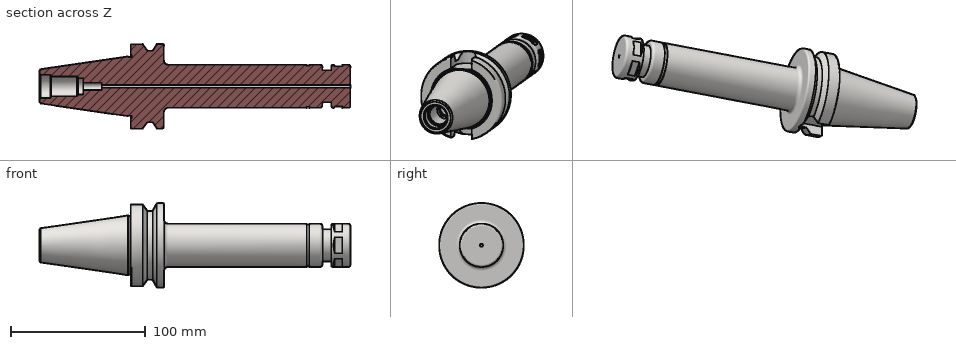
import cadquery as cq
import math

total_length = 230.5
taper_end = 65.5
taper_big_radius = 44.5 / 2
taper_slope = 7 / 24 / 2
taper_tip_radius = taper_big_radius - taper_slope * taper_end
tip_chamfer_length = 1.0
tip_chamfer_depth = 1.2
relief_start = 66.1
relief_radius = 22.0

flange_start = 67.5
flange_end = 92.5
flange_radius = 63.0 / 2
flange_front_round = 1.0
flange_rear_round = 1.4
groove_radius = 26.7
groove_mouth = (76.5, 86.9)
groove_floor = (80.0, 83.9)
face_recess_mouth_radius = 23.7
face_recess_floor_radius = 23.0
face_recess_depth = 0.7
slot_width = 16.1
slot_end = 88.2
slot_floor_height = 45.0 / 2

body_radius = 16.1
root_fillet = 2.8
ring_groove = (198.0, 200.0)
ring_groove_radius = 15.5
body_end = 209.7
body_end_round = 2.0
neck_radius = 12.0

nut_start = 216.0
nut_back_round = 1.4
nut_front_round = 1.8
flat_count = 6
flat_height = 15.0
flat_start = 218.9
flat_end = 224.5

mouth_radius = 18.7 / 2
bore_radius = 17.0 / 2
mouth_chamfer = 1.0
bore_depth = 8.0
thread_mouth_radius = 16.0 / 2
thread_radius = 7.1
thread_depth = 27.6
pocket_radius = 6.0
pocket_depth = 32.3
counterbore_radius = 2.5
counterbore_depth = 46.0
through_radius = 2.0 / 2


def add_lines(profile, points):
    for point in points:
        profile = profile.lineTo(*point)
    return profile


def add_round(profile, corner, radius, start, end):
    """Run to a square corner and round it; start and end are unit directions from the corner."""
    (x, r) = corner
    inset = radius * (1 - math.sqrt(0.5))
    along = start[0] + end[0]
    outward = start[1] + end[1]
    profile = profile.lineTo(x + radius * start[0], r + radius * start[1])
    return profile.threePointArc(
        (x + inset * along, r + inset * outward),
        (x + radius * end[0], r + radius * end[1]),
    )


def turned_body():
    back, ahead, inward, outward = (-1, 0), (1, 0), (0, -1), (0, 1)
    profile = add_lines(cq.Workplane("XY").moveTo(0, 0), [
        (0, taper_tip_radius - tip_chamfer_depth),
        (tip_chamfer_length, taper_tip_radius + taper_slope * tip_chamfer_length),
        (taper_end, taper_big_radius),
        (relief_start, relief_radius),
        (flange_start + face_recess_depth, relief_radius),
        (flange_start + face_recess_depth, face_recess_floor_radius),
        (flange_start, face_recess_mouth_radius),
    ])
    profile = add_round(profile, (flange_start, flange_radius), flange_front_round, inward, ahead)
    profile = add_lines(profile, [
        (groove_mouth[0], flange_radius),
        (groove_floor[0], groove_radius),
        (groove_floor[1], groove_radius),
        (groove_mouth[1], flange_radius),
    ])
    profile = add_round(profile, (flange_end, flange_radius), flange_rear_round, back, inward)
    profile = add_round(profile, (flange_end, body_radius), root_fillet, outward, ahead)
    profile = add_lines(profile, [
        (ring_groove[0], body_radius),
        (ring_groove[0], ring_groove_radius),
        (ring_groove[1], ring_groove_radius),
        (ring_groove[1], body_radius),
    ])
    profile = add_round(profile, (body_end, body_radius), body_end_round, back, inward)
    profile = add_lines(profile, [(body_end, neck_radius), (nut_start, neck_radius)])
    profile = add_round(profile, (nut_start, body_radius), nut_back_round, inward, ahead)
    profile = add_round(profile, (total_length, body_radius), nut_front_round, back, inward)
    profile = profile.lineTo(total_length, 0).close()
    return profile.revolve(360, (0, 0, 0), (1, 0, 0))


def drive_slot():
    """Cutter for a slot open at the flange front with a full round at its far end."""
    round_center = slot_end - slot_width / 2
    depth = flange_radius
    straight = cq.Workplane("XY").box(
        round_center - taper_end, slot_width, depth, centered=(False, True, False)
    ).translate((taper_end, 0, slot_floor_height))
    rounded = cq.Workplane("XY").circle(slot_width / 2).extrude(depth)
    return straight.union(rounded.translate((round_center, 0, slot_floor_height)))


def nut_flat():
    """Cutter for one wrench flat with a sloped back wall and a square front wall."""
    depth = body_radius - flat_height
    return (
        cq.Workplane("XZ")
        .polyline([
            (flat_start, flat_height),
            (flat_start - depth, body_radius),
            (flat_end, body_radius),
            (flat_end, flat_height),
        ])
        .close()
        .extrude(body_radius, both=True)
    )


def bore():
    return (
        cq.Workplane("XY")
        .polyline([
            (0, 0),
            (0, mouth_radius),
            (mouth_chamfer, bore_radius),
            (bore_depth, bore_radius),
            (bore_depth, thread_mouth_radius),
            (bore_depth + thread_mouth_radius - thread_radius, thread_radius),
            (thread_depth, thread_radius),
            (thread_depth + thread_radius - pocket_radius, pocket_radius),
            (pocket_depth, pocket_radius),
            (pocket_depth, counterbore_radius),
            (counterbore_depth, counterbore_radius),
            (counterbore_depth, through_radius),
            (total_length, through_radius),
            (total_length, 0),
        ])
        .close()
        .revolve(360, (0, 0, 0), (1, 0, 0))
    )


result = turned_body().cut(bore())

for angle in (0, 180):
    result = result.cut(drive_slot().rotate((0, 0, 0), (1, 0, 0), angle))

for index in range(flat_count):
    angle = 90 + index * 360 / flat_count
    result = result.cut(nut_flat().rotate((0, 0, 0), (1, 0, 0), angle))